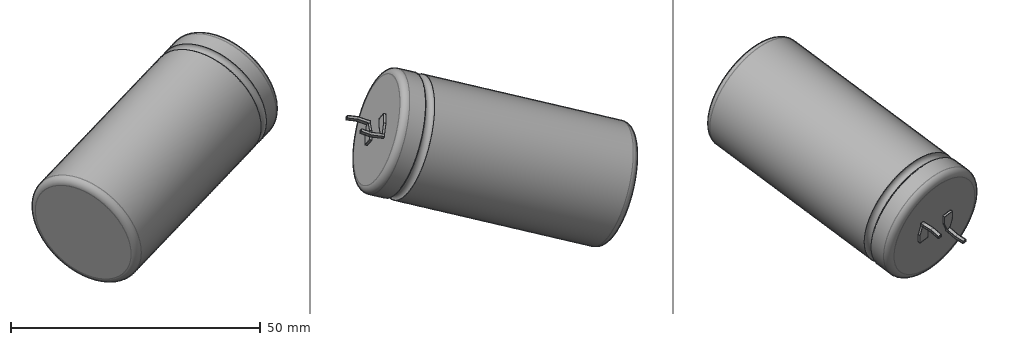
import cadquery as cq

can_diameter = 26.0
can_length = 52.0
end_radius = 1.5
groove_radius = 0.95
groove_to_terminal_end = 6.0

overall_length = 57.0
terminal_spacing = 7.0
pad_thickness = 0.5
pad_width = 2.2
pin_width = 0.8
pin_thickness = 0.6
pin_outer_height = 3.9
pin_bend_height = 4.15

can_radius = can_diameter / 2
front_y = -overall_length / 2
pin_tip_y = overall_length / 2
can_end_y = front_y + can_length
pad_top_y = can_end_y + pad_thickness
pin_bend_y = (pad_top_y + pin_tip_y) / 2
pin_inner_height = pin_outer_height - pin_thickness


def make_can():
    """Rounded cylinder with a semicircular groove near the terminal end."""
    can = cq.Workplane("XZ", origin=(0, front_y, 0)).circle(can_radius).extrude(-can_length)
    can = can.edges("%CIRCLE").fillet(end_radius)
    groove_y = can_end_y - groove_to_terminal_end
    groove = (
        cq.Workplane("XY")
        .center(can_radius, groove_y)
        .circle(groove_radius)
        .revolve(360, (-can_radius, 0), (-can_radius, 1))
    )
    return can.cut(groove)


def make_terminal():
    """Pad and bent pin centred on X = 0; the pin stands on the +Z side."""
    half_pad = pad_width / 2
    half_pin = pin_width / 2
    pad = (
        cq.Workplane("XZ", origin=(0, can_end_y, 0))
        .polyline([
            (-half_pad, -half_pad),
            (half_pad, -half_pad),
            (half_pad, half_pad),
            (half_pin, pin_inner_height),
            (half_pin, pin_outer_height),
            (-half_pin, pin_outer_height),
            (-half_pin, pin_inner_height),
            (-half_pad, half_pad),
        ])
        .close()
        .extrude(-pad_thickness)
    )
    pin = (
        cq.Workplane("YZ")
        .polyline([
            (pad_top_y, pin_outer_height),
            (pin_bend_y, pin_bend_height),
            (pin_tip_y, pin_outer_height),
            (pin_tip_y, pin_inner_height),
            (pin_bend_y, pin_bend_height - pin_thickness),
            (pad_top_y, pin_inner_height),
        ])
        .close()
        .extrude(half_pin, both=True)
    )
    return pad.union(pin)


terminal = make_terminal().translate((terminal_spacing / 2, 0, 0))
opposite_terminal = terminal.rotate((0, 0, 0), (0, 1, 0), 180)

result = make_can().union(terminal).union(opposite_terminal)